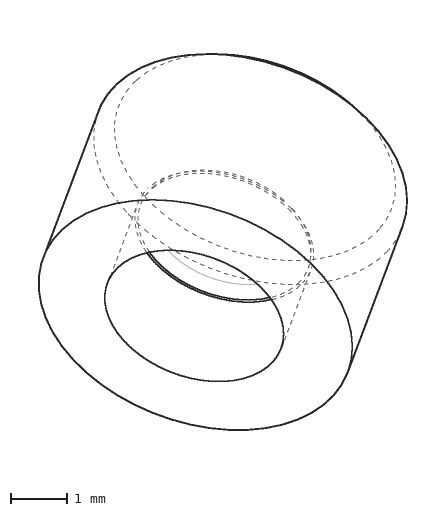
import cadquery as cq

outer_diameter = 5.8
length = 3.98
chamfer = 0.3
bore_diameter = 3.305
bore_floor_diameter = 3.195
bore_offset_x = -0.025
bore_offset_z = -0.03
wall_depth = 2.0
floor_corner_radius = 0.2

body = (
    cq.Workplane("XZ")
    .circle(outer_diameter / 2)
    .extrude(-length)
    .faces(">Y")
    .edges()
    .chamfer(chamfer)
)

bore_radius = bore_diameter / 2
corner_start_radius = bore_floor_diameter / 2
floor_radius = corner_start_radius - floor_corner_radius
bore_depth = wall_depth + floor_corner_radius
corner_mid = floor_corner_radius * 0.5**0.5
bore = (
    cq.Workplane("XY")
    .lineTo(bore_radius, 0)
    .lineTo(bore_radius, wall_depth)
    .lineTo(corner_start_radius, wall_depth)
    .threePointArc((floor_radius + corner_mid, wall_depth + corner_mid), (floor_radius, bore_depth))
    .lineTo(0, bore_depth)
    .close()
    .revolve(360, (0, 0, 0), (0, 1, 0))
    .translate((bore_offset_x, 0, bore_offset_z))
)

result = body.cut(bore)